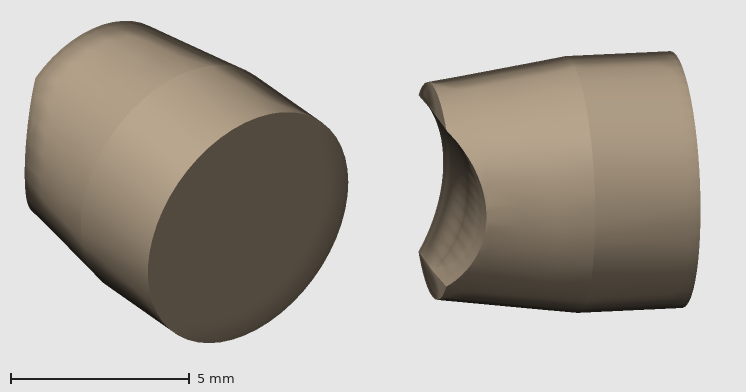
import cadquery as cq

diameter = 7.2
length = 6.95
collar_length = 3.0
tip_diameter = 6.105
groove_depth = 1.0
groove_width = 4.61
groove_tilt = 1.4

nose_length = length - collar_length
body = (
    cq.Workplane("XY")
    .lineTo(0, tip_diameter / 2)
    .lineTo(nose_length, diameter / 2)
    .lineTo(length, diameter / 2)
    .lineTo(length, 0)
    .close()
    .revolve(360, (0, 0, 0), (1, 0, 0))
)

groove_radius = ((groove_width / 2) ** 2 + groove_depth**2) / (2 * groove_depth)
tilted_cylinder = (
    cq.Workplane("XZ")
    .center(groove_depth - groove_radius, 0)
    .circle(groove_radius)
    .extrude(diameter, both=True)
    .rotate((0, 0, 0), (0, 0, 1), -groove_tilt)
)
front_side = cq.Workplane("XZ").rect(2 * length, diameter).extrude(diameter / 2)
half_groove = tilted_cylinder.intersect(front_side)

result = body.cut(half_groove).cut(half_groove.mirror("XZ"))